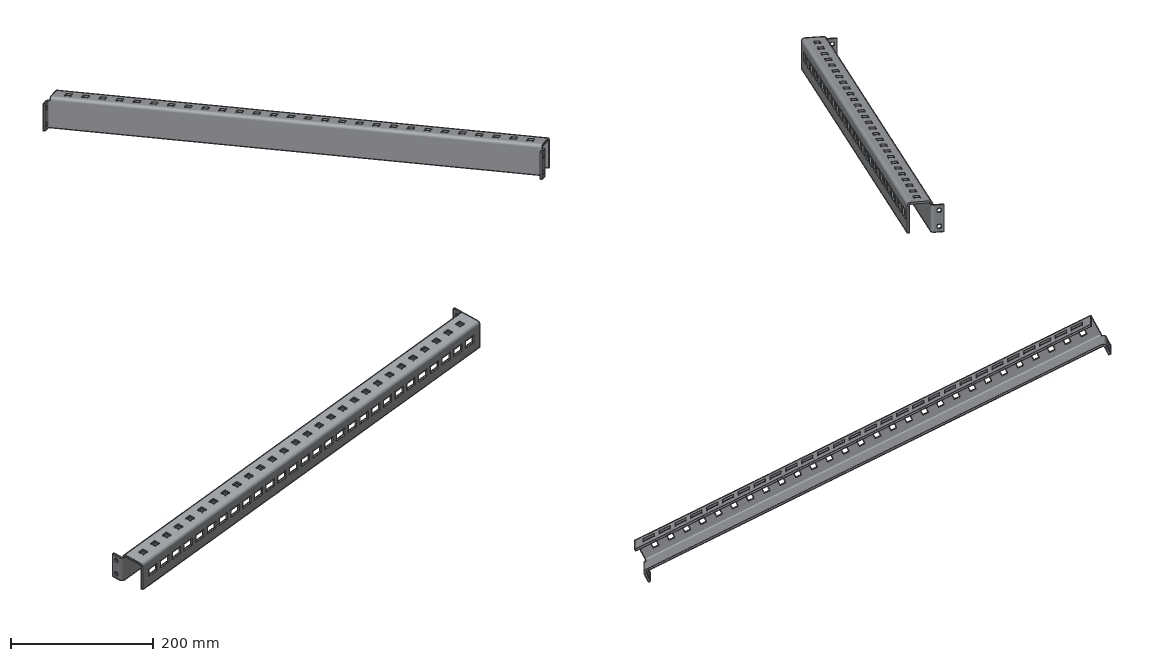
import cadquery as cq
import math

total_length = 729.0
total_width = 52.0
height = 45.0

sheet = 3.0
outer_radius = 5.0
inner_radius = outer_radius - sheet

channel_width = 36.5
channel_length = total_length - 2 * outer_radius
back_face = total_width / 2
front_face = back_face - channel_width

tab_height = height - outer_radius
tab_front = -total_width / 2

tab_hole_diameter = 6.5
tab_hole_setback = 6.9
tab_hole_margin = 8.0
tab_hole_y = tab_front + tab_hole_setback
tab_hole_heights = (tab_hole_margin, tab_height - tab_hole_margin)

hole_count = 28
hole_row_span = 675.0
hole_pitch = hole_row_span / (hole_count - 1)
web_hole_side = 9.0
back_hole_length = 17.5
back_hole_height = 12.5


def make_block(width, block_height, radius):
    """Solid of the channel's length with its two upper long edges rounded."""
    block = cq.Workplane("XY").box(channel_length, width, block_height, centered=(True, True, False))
    return block.edges("|X and >Z").fillet(radius)


def make_channel():
    """U-channel open downward, with rounded outer and inner bends."""
    outside = make_block(channel_width, height, outer_radius)
    inside = make_block(channel_width - 2 * sheet, height - sheet, inner_radius)
    return outside.cut(inside).translate((0, (front_face + back_face) / 2, 0))


def make_right_tab():
    """Tab bent forward from the right end of the front wall, with its two holes."""
    bend_x = channel_length / 2
    bend_y = front_face + sheet - outer_radius
    outside_x = bend_x + outer_radius
    inside_x = bend_x + inner_radius
    outer_diagonal = outer_radius * math.sqrt(0.5)
    inner_diagonal = inner_radius * math.sqrt(0.5)
    tab = (
        cq.Workplane("XY")
        .moveTo(bend_x, bend_y + outer_radius)
        .threePointArc((bend_x + outer_diagonal, bend_y + outer_diagonal), (outside_x, bend_y))
        .lineTo(outside_x, tab_front)
        .lineTo(inside_x, tab_front)
        .lineTo(inside_x, bend_y)
        .threePointArc((bend_x + inner_diagonal, bend_y + inner_diagonal), (bend_x, bend_y + inner_radius))
        .close()
        .extrude(tab_height)
    )
    holes = (
        cq.Workplane("YZ", origin=(inside_x, 0, 0))
        .pushPoints([(tab_hole_y, hole_height) for hole_height in tab_hole_heights])
        .circle(tab_hole_diameter / 2)
        .extrude(sheet)
    )
    return tab.cut(holes)


def make_hole_row(plane, length, width):
    """Row of rectangular cutters one sheet deep, centred on the plane's origin."""
    return (
        cq.Workplane(plane)
        .rarray(hole_pitch, 7, hole_count, 1)
        .rect(length, width)
        .extrude(sheet)
    )


web_plane = cq.Plane(
    origin=(0, (front_face + back_face) / 2, height - sheet), xDir=(1, 0, 0), normal=(0, 0, 1)
)
back_plane = cq.Plane(origin=(0, back_face, height / 2), xDir=(1, 0, 0), normal=(0, -1, 0))

right_tab = make_right_tab()
left_tab = right_tab.mirror("YZ")

result = (
    make_channel()
    .union(right_tab)
    .union(left_tab)
    .cut(make_hole_row(web_plane, web_hole_side, web_hole_side))
    .cut(make_hole_row(back_plane, back_hole_length, back_hole_height))
)